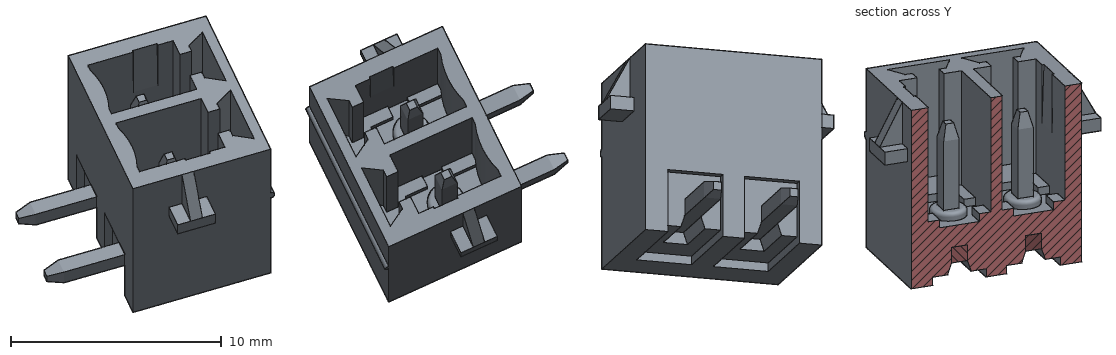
import cadquery as cq


OVERALL_WIDTH = 11.11
WIDTH = 8.78
DEPTH = 6.99
HEIGHT = 9.2
PIN_PITCH = 3.81
SOCKET_CENTRES = [-PIN_PITCH / 2, PIN_PITCH / 2]

PIN_SIZE = 0.8
TIP_SIZE = 0.4
TIP_LENGTH = 0.8
PIN_Y = 2.79
TAIL_Z = 1.4
PIN_TOP = 7.67
TAIL_LENGTH = 3.51
PIN_BACK = PIN_Y + PIN_SIZE / 2

RIB_RADIUS = 0.2
RIB_Z = 5.75

SOCKET_WIDTH = 3.2
SOCKET_FRONT = 0.67
SOCKET_BACK = 4.99
SOCKET_FLOOR = 3.33
BULGE_WIDTH = 2.51
BULGE_HEIGHT = 0.21
NECK_WIDTH = 1.38
NECK_BACK = 5.59
DOVETAIL_FRONT_WIDTH = 2.11
DOVETAIL_BACK = 6.48

CROSS_DEPTH = 0.4
CROSS_FLOOR = SOCKET_FLOOR - CROSS_DEPTH
CROSS_WIDTH = 2.02
CROSS_BACK = 4.45
CROSS_ARM_WIDTH = 1.01
BOSS_DIAMETER = 1.8
BOSS_TOP = SOCKET_FLOOR
BOSS_FILLET = 0.2

RELIEF_FRONT = 2.98
RELIEF_BACK = 4.21
RELIEF_DEPTH = 0.1
RELIEF_BOTTOM = 6.2

RECESS_WIDTH = 2.73
RECESS_HEIGHT = 3.07
RECESS_DEPTH = 0.4
UNDERCUT_HEIGHT = 0.42
CHANNEL_BOTTOM_WIDTH = 1.2

LATCH_REACH = (OVERALL_WIDTH - WIDTH) / 2
LATCH_WIDTH = 1.91
LATCH_BOTTOM = 6.39
LATCH_TOP = 7.05
GUSSET_THICKNESS = 0.6


def box(x_range, y_range, z_range):
    """Box between two limits on each axis."""
    size = [high - low for low, high in (x_range, y_range, z_range)]
    corner = (x_range[0], y_range[0], z_range[0])
    return cq.Workplane("XY").box(*size, centered=False).translate(corner)


def centred_range(centre, width):
    return (centre - width / 2, centre + width / 2)


def tapered_bar(workplane, straight_length):
    """Square bar along the workplane normal, ending in a pyramid-shaped tip."""
    bar = workplane.rect(PIN_SIZE, PIN_SIZE).extrude(straight_length)
    tip = (
        workplane.workplane(offset=straight_length)
        .rect(PIN_SIZE, PIN_SIZE)
        .workplane(offset=TIP_LENGTH)
        .rect(TIP_SIZE, TIP_SIZE)
        .loft(ruled=True)
    )
    return bar.union(tip)


def make_pin(x):
    """Angled pin: an upright contact, and a tail that leaves through the front face."""
    upright_start = TAIL_Z - PIN_SIZE / 2
    upright_plane = cq.Workplane("XY", origin=(x, PIN_Y, upright_start))
    tail_plane = cq.Workplane("XZ", origin=(x, PIN_BACK, TAIL_Z))
    upright = tapered_bar(upright_plane, PIN_TOP - TIP_LENGTH - upright_start)
    tail = tapered_bar(tail_plane, PIN_BACK + TAIL_LENGTH - TIP_LENGTH)
    return upright.union(tail)


def socket_prism(x, floor):
    """Main socket opening, whose front wall bulges inwards."""
    half_width = SOCKET_WIDTH / 2
    half_bulge = BULGE_WIDTH / 2
    return (
        cq.Workplane("XY", origin=(x, 0, floor))
        .moveTo(-half_width, SOCKET_BACK)
        .lineTo(-half_width, SOCKET_FRONT)
        .lineTo(-half_bulge, SOCKET_FRONT)
        .threePointArc((0, SOCKET_FRONT + BULGE_HEIGHT), (half_bulge, SOCKET_FRONT))
        .lineTo(half_width, SOCKET_FRONT)
        .lineTo(half_width, SOCKET_BACK)
        .close()
        .extrude(HEIGHT - floor)
    )


def keyway(x):
    """Narrow neck behind the socket, opening into a dovetail."""
    neck = box(centred_range(x, NECK_WIDTH), (SOCKET_BACK, NECK_BACK), (SOCKET_FLOOR, HEIGHT))
    dovetail = (
        cq.Workplane("XY", origin=(x, 0, SOCKET_FLOOR))
        .moveTo(-DOVETAIL_FRONT_WIDTH / 2, NECK_BACK)
        .lineTo(DOVETAIL_FRONT_WIDTH / 2, NECK_BACK)
        .lineTo(SOCKET_WIDTH / 2, DOVETAIL_BACK)
        .lineTo(-SOCKET_WIDTH / 2, DOVETAIL_BACK)
        .close()
        .extrude(HEIGHT - SOCKET_FLOOR)
    )
    return neck.union(dovetail)


def floor_cross(x):
    """Cross-shaped recess in the socket floor, kept inside the socket walls."""
    levels = (CROSS_FLOOR, SOCKET_FLOOR)
    strip = box(centred_range(x, CROSS_WIDTH), (0, CROSS_BACK), levels)
    arms = box(centred_range(x, SOCKET_WIDTH), centred_range(PIN_Y, CROSS_ARM_WIDTH), levels)
    return strip.union(arms).intersect(socket_prism(x, CROSS_FLOOR))


def pin_boss(x):
    """Round boss that carries the upright part of the pin."""
    return (
        cq.Workplane("XY", origin=(x, PIN_Y, CROSS_FLOOR))
        .circle(BOSS_DIAMETER / 2)
        .extrude(BOSS_TOP - CROSS_FLOOR)
        .faces(">Z")
        .edges()
        .fillet(BOSS_FILLET)
    )


def wall_relief(x):
    """Relief in the outer side wall, deepest at the top and running out part-way down."""
    side = 1 if x > 0 else -1
    wall_x = x + side * SOCKET_WIDTH / 2
    return (
        cq.Workplane("XZ", origin=(0, RELIEF_BACK, 0))
        .moveTo(wall_x, RELIEF_BOTTOM)
        .lineTo(wall_x, HEIGHT)
        .lineTo(wall_x + side * RELIEF_DEPTH, HEIGHT)
        .close()
        .extrude(RELIEF_BACK - RELIEF_FRONT)
    )


def tail_opening(x):
    """Front recess, the undercut below it and the flared channel under the pin tail."""
    recess_width = centred_range(x, RECESS_WIDTH)
    recess = box(recess_width, (0, RECESS_DEPTH), (0, RECESS_HEIGHT))
    undercut = box(recess_width, (0, SOCKET_BACK), (0, UNDERCUT_HEIGHT))
    channel = (
        cq.Workplane("XZ", origin=(x, PIN_BACK, 0))
        .moveTo(-CHANNEL_BOTTOM_WIDTH / 2, UNDERCUT_HEIGHT)
        .lineTo(CHANNEL_BOTTOM_WIDTH / 2, UNDERCUT_HEIGHT)
        .lineTo(PIN_SIZE / 2, TAIL_Z - PIN_SIZE / 2)
        .lineTo(-PIN_SIZE / 2, TAIL_Z - PIN_SIZE / 2)
        .close()
        .extrude(PIN_BACK)
    )
    return recess.union(undercut).union(channel)


def latch(side):
    """Side pad with a sloping gusset that rises to the top edge of the housing."""
    wall_x = side * WIDTH / 2
    outer_x = wall_x + side * LATCH_REACH
    pad = box(
        sorted((wall_x, outer_x)),
        centred_range(PIN_Y, LATCH_WIDTH),
        (LATCH_BOTTOM, LATCH_TOP),
    )
    gusset = (
        cq.Workplane("XZ", origin=(0, PIN_Y + GUSSET_THICKNESS / 2, 0))
        .moveTo(wall_x, LATCH_TOP)
        .lineTo(outer_x, LATCH_TOP)
        .lineTo(wall_x, HEIGHT)
        .close()
        .extrude(GUSSET_THICKNESS)
    )
    return pad.union(gusset)


def rear_rib():
    """Rounded rib across the full width of the rear face."""
    return (
        cq.Workplane("YZ", origin=(-WIDTH / 2, DEPTH, RIB_Z))
        .circle(RIB_RADIUS)
        .extrude(WIDTH)
    )


def make_housing(pins):
    housing = box(centred_range(0, WIDTH), (0, DEPTH), (0, HEIGHT)).union(rear_rib())
    for side in (-1, 1):
        housing = housing.union(latch(side))
    for x, pin in zip(SOCKET_CENTRES, pins):
        housing = (
            housing.cut(socket_prism(x, SOCKET_FLOOR))
            .cut(keyway(x))
            .cut(floor_cross(x))
            .cut(wall_relief(x))
            .union(pin_boss(x))
            .cut(tail_opening(x))
            .cut(pin)
        )
    return housing


pins = [make_pin(x) for x in SOCKET_CENTRES]
housing = make_housing(pins)

result = cq.Compound.makeCompound([housing.solids().val(), *[pin.solids().val() for pin in pins]])